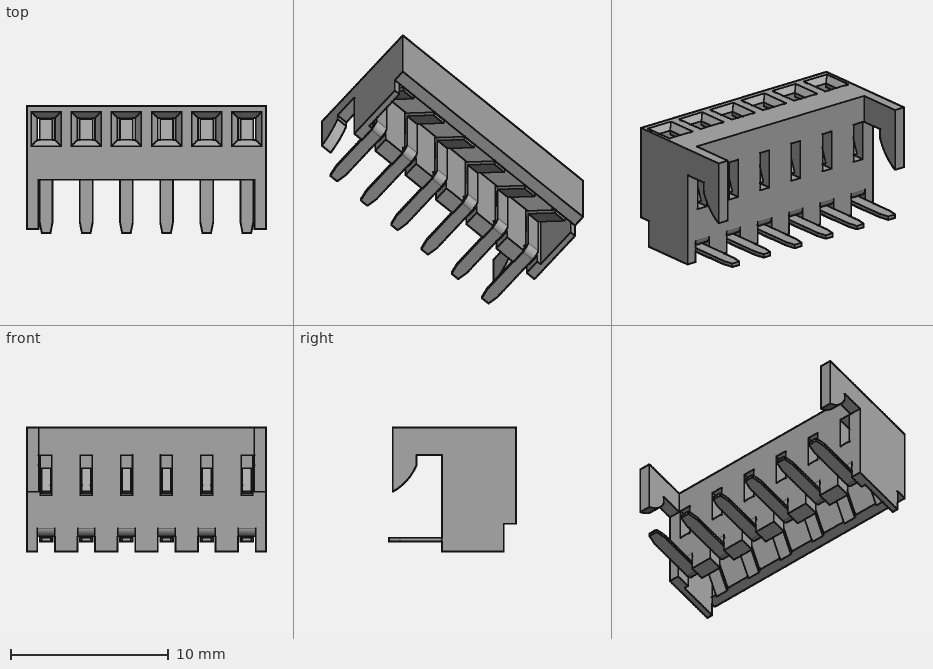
import cadquery as cq
import math


contact_count = 6
housing_length = 15.14
pitch = 2.55
first_contact_x = -pitch * (contact_count - 1) / 2

housing_height = 7.87
housing_depth = 4.7
back_step_depth = 0.77
back_step_height = 1.75

arm_thickness = 0.74
arm_end_y = -7.81
hook_y = -6.3
arm_underside_z = 6.1
hook_root_z = 5.47
hook_tip_z = 3.78
hook_radius = 3.48

front_wall = 1.03
end_wall = 0.38
chamber_front_y = -housing_depth + front_wall
chamber_back_y = -back_step_depth
chamber_top_z = 7.22

entry_width = 1.1
entry_front_y = -2.15
lead_in = 0.4

slot_width = 0.74
slot_bottom_z = 3.57
slot_height = 2.55

notch_width = 1.1
notch_roof_z = 0.97
notch_edge_radius = 0.5

metal_thickness = 0.24
contact_width = 0.83
pin_bottom_z = 0.64
pin_top_z = pin_bottom_z + metal_thickness
pin_end_y = -8.05
pin_taper_y = -7.36
pin_tip_width = 0.56
bend_radius = 0.3
leg_top_z = 6.96
spring_slope = math.radians(61)
spring_foot_length = 0.09
lance_width = 0.56
lance_root_z = 5.27
lance_tip_z = 3.82
lance_slope = math.radians(69)
lance_thickness = 0.38


def box(x_range, y_range, z_range):
    """Axis-aligned block between pairs of coordinates."""
    x0, x1 = x_range
    y0, y1 = y_range
    z0, z1 = z_range
    return cq.Workplane("XY").box(x1 - x0, y1 - y0, z1 - z0, centered=False).translate((x0, y0, z0))


def side_profile():
    """Sketch plane whose local axes are Y and Z."""
    return cq.Workplane("YZ")


def centred(width):
    """Pair of X coordinates for a width centred on X = 0."""
    return -width / 2, width / 2


def make_block():
    """Housing with the hooked arms at both ends, before the cavities are cut."""
    block = (
        side_profile()
        .polyline([
            (0, housing_height),
            (-housing_depth, housing_height),
            (-housing_depth, 0),
            (-back_step_depth, 0),
            (-back_step_depth, back_step_height),
            (0, back_step_height),
        ])
        .close()
        .extrude(housing_length / 2, both=True)
    )
    arm = (
        side_profile()
        .moveTo(-housing_depth, housing_height)
        .lineTo(arm_end_y, housing_height)
        .lineTo(arm_end_y, hook_tip_z)
        .radiusArc((hook_y, hook_root_z), -hook_radius)
        .lineTo(hook_y, arm_underside_z)
        .lineTo(-housing_depth, arm_underside_z)
        .close()
        .extrude(arm_thickness)
    )
    left_arm = arm.translate((-housing_length / 2, 0, 0))
    return block.union(left_arm).union(left_arm.mirror("YZ"))


def make_chamber():
    """Space shared by all contacts."""
    return box(
        centred(housing_length - 2 * end_wall),
        (chamber_front_y, chamber_back_y),
        (0, chamber_top_z),
    )


def make_openings():
    """Entry, lance slot and pin notch that lead into the chamber at one contact."""
    entry_depth = chamber_back_y - entry_front_y
    entry_centre_y = (chamber_back_y + entry_front_y) / 2
    entry = box(
        centred(entry_width),
        (entry_front_y, chamber_back_y),
        (chamber_top_z, housing_height),
    )
    funnel = (
        cq.Workplane("XY", origin=(0, entry_centre_y, housing_height))
        .rect(entry_width + 2 * lead_in, entry_depth + 2 * lead_in)
        .workplane(offset=-lead_in)
        .rect(entry_width, entry_depth)
        .loft(ruled=True)
    )
    slot = box(
        centred(slot_width),
        (-housing_depth, chamber_front_y),
        (slot_bottom_z, slot_bottom_z + slot_height),
    )
    notch = (
        side_profile()
        .moveTo(chamber_front_y, 0)
        .lineTo(-housing_depth, 0)
        .lineTo(-housing_depth, notch_roof_z + notch_edge_radius)
        .radiusArc((-housing_depth + notch_edge_radius, notch_roof_z), -notch_edge_radius)
        .lineTo(chamber_front_y, notch_roof_z)
        .close()
        .extrude(notch_width / 2, both=True)
    )
    return entry.union(funnel).union(slot).union(notch)


def make_contact():
    """One contact: tapered pin, bend, upright leg, folded spring and locking lance."""
    leg_back_y = chamber_front_y + metal_thickness
    outer_radius = bend_radius + metal_thickness
    leg_back_top_z = leg_top_z - metal_thickness * math.tan(spring_slope)
    strip = (
        side_profile()
        .moveTo(pin_end_y, pin_top_z)
        .lineTo(chamber_front_y - bend_radius, pin_top_z)
        .radiusArc((chamber_front_y, pin_top_z + bend_radius), -bend_radius)
        .lineTo(chamber_front_y, leg_top_z)
        .lineTo(leg_back_y, leg_back_top_z)
        .lineTo(leg_back_y, pin_bottom_z + outer_radius)
        .radiusArc((leg_back_y - outer_radius, pin_bottom_z), outer_radius)
        .lineTo(pin_end_y, pin_bottom_z)
        .close()
        .extrude(contact_width / 2, both=True)
    )

    taper_corner = (
        cq.Workplane("XY")
        .polyline([
            (contact_width / 2, pin_taper_y),
            (contact_width / 2, pin_end_y),
            (pin_tip_width / 2, pin_end_y),
        ])
        .close()
        .extrude(pin_top_z)
    )
    strip = strip.cut(taper_corner).cut(taper_corner.mirror("YZ"))

    spring_end_y = chamber_back_y - spring_foot_length
    spring_end_z = leg_top_z - (spring_end_y - chamber_front_y) * math.tan(spring_slope)
    spring_drop = metal_thickness / math.cos(spring_slope)
    spring = (
        side_profile()
        .polyline([
            (chamber_front_y, leg_top_z),
            (spring_end_y, spring_end_z),
            (chamber_back_y, spring_end_z),
            (chamber_back_y, spring_end_z - metal_thickness),
            (spring_end_y, spring_end_z - spring_drop),
            (chamber_front_y, leg_top_z - spring_drop),
        ])
        .close()
        .extrude(contact_width / 2, both=True)
    )

    lance_tip_y = chamber_front_y - (lance_root_z - lance_tip_z) / math.tan(lance_slope)
    lance = (
        side_profile()
        .polyline([
            (chamber_front_y, lance_root_z),
            (lance_tip_y, lance_tip_z),
            (
                lance_tip_y + lance_thickness * math.sin(lance_slope),
                lance_tip_z - lance_thickness * math.cos(lance_slope),
            ),
            (chamber_front_y, lance_root_z - lance_thickness / math.cos(lance_slope)),
        ])
        .close()
        .extrude(lance_width / 2, both=True)
    )
    return strip.union(spring).union(lance)


result = make_block().cut(make_chamber())
openings = make_openings()
contact = make_contact()
for index in range(contact_count):
    offset = (first_contact_x + index * pitch, 0, 0)
    result = result.cut(openings.translate(offset)).union(contact.translate(offset))